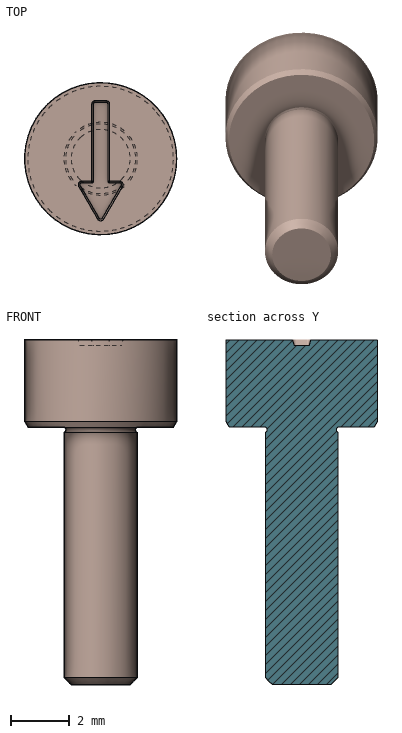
import cadquery as cq
import math

total_height = 11.8
head_diameter = 5.2
head_height = 3.0
shank_diameter = 2.5

head_chamfer_width = 0.12
head_chamfer_height = 0.2
tip_chamfer = 0.25
neck_height = 0.18
neck_depth = 0.06

arrow_corner_radius = 0.12
arrow_tail_y = 1.86
arrow_shoulder_y = -0.88
arrow_tip_y = -2.01
arrow_shaft_half_width = 0.19
arrow_tip_half_angle = 30.0
arrow_depth = 0.2
arrow_wall_inset = 0.06

head_radius = head_diameter / 2
shank_radius = shank_diameter / 2
head_bottom = total_height - head_height


def turned_body():
    """Head, relief groove under the head and chamfered shank in one revolve."""
    profile = (
        cq.Workplane("XZ")
        .moveTo(0, 0)
        .lineTo(shank_radius - tip_chamfer, 0)
        .lineTo(shank_radius, tip_chamfer)
        .lineTo(shank_radius, head_bottom - neck_height)
        .threePointArc(
            (shank_radius - neck_depth, head_bottom - neck_height / 2),
            (shank_radius, head_bottom),
        )
        .lineTo(head_radius - head_chamfer_width, head_bottom)
        .lineTo(head_radius, head_bottom + head_chamfer_height)
        .lineTo(head_radius, total_height)
        .lineTo(0, total_height)
        .close()
    )
    return profile.revolve(360, (0, 0, 0), (0, 1, 0))


def arrow_pocket():
    """Arrow pointing to -Y, with walls that lean inward toward the floor."""
    head_length = arrow_shoulder_y - arrow_tip_y
    head_half_width = head_length * math.tan(math.radians(arrow_tip_half_angle))
    right_side = [
        (arrow_shaft_half_width, arrow_tail_y),
        (arrow_shaft_half_width, arrow_shoulder_y),
        (head_half_width, arrow_shoulder_y),
    ]
    left_side = [(-x, y) for x, y in reversed(right_side)]
    wall_angle = math.degrees(math.atan2(arrow_wall_inset, arrow_depth))
    return (
        cq.Workplane("XY", origin=(0, 0, total_height))
        .polyline(right_side + [(0, arrow_tip_y)] + left_side)
        .close()
        .offset2D(arrow_corner_radius)
        .extrude(-arrow_depth, taper=wall_angle)
    )


result = turned_body().cut(arrow_pocket())